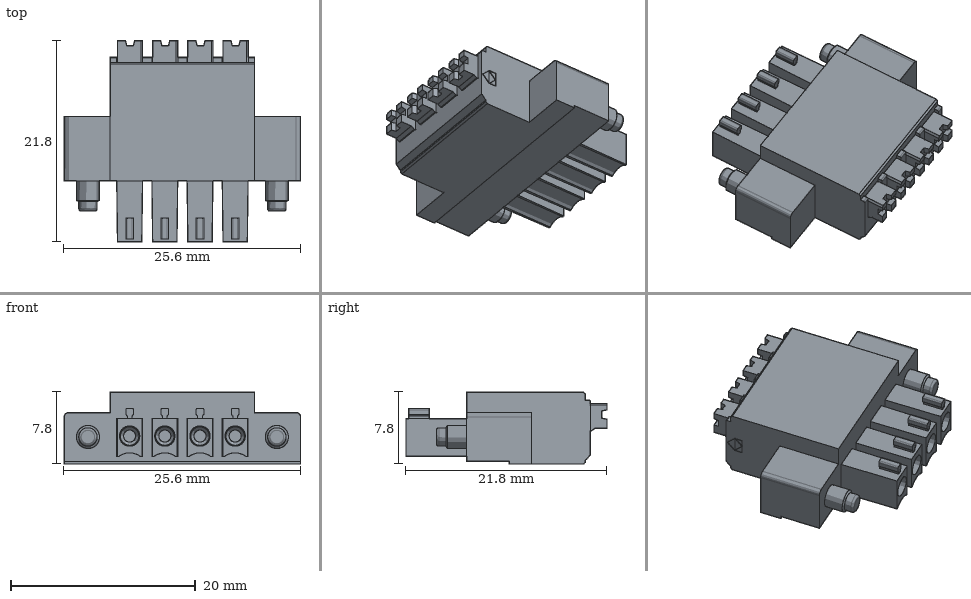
import cadquery as cq


total_width = 25.63
total_height = 7.8
body_width = 15.64
body_depth = 13.4
ledge_depth = 0.55
ledge_top = 6.95
ledge_fillet = 0.15
rear_chamfer = 0.2
rear_slope_top = 1.0
rear_slope_bottom = 0.4
flange_depth = 7.0
flange_height = 5.6
flange_fillet = 0.5
relief_depth = 4.6
relief_height = 0.3

pole_count = 4
pole_pitch = 3.81

block_length = 6.6
block_width = 2.82
block_front_width = 2.66
block_bottom = 0.85
block_top = 4.95
block_height = block_top - block_bottom

socket_z = 3.05
socket_mouth_dia = 2.2
socket_throat_dia = 2.0
socket_end_dia = 1.3
socket_throat_depth = 0.95
socket_depth = 1.35

groove_dia = 3.85
groove_rise = 0.38

key_length = 2.27
key_front_gap = 0.3
key_top = 6.05
key_width = 0.84
key_neck_width = 0.5
key_neck_top = 5.2
key_flare_top = 5.4
key_fillet = 0.16

lever_width = 2.75
lever_left = -1.33
lever_rear = 15.2
lever_bottom = 3.87
lever_top = 6.6
lever_foot_bottom = 3.6
lever_ramp_rear = 13.89
lever_ramp_front = 13.5
lever_chamfer = 0.2
notch_depth = 0.55
vertical_notch_mouth = 0.97
vertical_notch_floor = 0.7
cross_notch_mouth = 1.0
cross_notch_floor = 0.76
cross_notch_z = 5.38

screw_x = 10.23
screw_z = 2.95
screw_dia = 2.5
screw_shank = 2.1
screw_tip_dia = 2.0
screw_cone = 0.15
screw_length = 3.28
screw_tip_fillet = 0.27

mark_front = 11.5
mark_shoulder = 12.37
mark_tip = 13.25
mark_z = 3.78
mark_half_height = 0.86
mark_depth = 0.05

pole_positions = [(i - (pole_count - 1) / 2) * pole_pitch for i in range(pole_count)]
wall_rear = body_depth - ledge_depth


def extrude_along_x(points, x_start, length):
    """Extrude a (Y, Z) outline in +X."""
    return cq.Workplane("YZ").workplane(offset=x_start).polyline(points).close().extrude(length)


def make_body():
    outline = [
        (0, relief_height),
        (relief_depth, relief_height),
        (relief_depth, 0),
        (wall_rear - rear_chamfer, 0),
        (wall_rear, rear_chamfer),
        (wall_rear, rear_slope_bottom),
        (body_depth, rear_slope_top),
        (body_depth, ledge_top),
        (wall_rear, ledge_top),
        (wall_rear, total_height - rear_chamfer),
        (wall_rear - rear_chamfer, total_height),
        (0, total_height),
    ]
    body = extrude_along_x(outline, -body_width / 2, body_width)
    ledge_edge = body.faces(">Y").edges(">Z")
    return ledge_edge.fillet(ledge_fillet)


def make_flange():
    outline = [
        (0, relief_height),
        (relief_depth, relief_height),
        (relief_depth, 0),
        (flange_depth, 0),
        (flange_depth, flange_height),
        (0, flange_height),
    ]
    flange = extrude_along_x(outline, -total_width / 2, total_width)
    top_side_edges = flange.faces(">Z").edges("|Y")
    return top_side_edges.fillet(flange_fillet)


def make_block(x):
    half_rear = block_width / 2
    half_front = block_front_width / 2
    footprint = [
        (x - half_rear, 0),
        (x - half_front, -block_length),
        (x + half_front, -block_length),
        (x + half_rear, 0),
    ]
    block = cq.Workplane("XY").workplane(offset=block_bottom).polyline(footprint).close().extrude(block_height)
    groove_axis_z = block_bottom + groove_rise - groove_dia / 2
    groove = cq.Workplane("XZ").center(x, groove_axis_z).circle(groove_dia / 2).extrude(block_length)
    return block.cut(groove)


def make_socket(x):
    front = -block_length
    profile = [
        (0, front),
        (socket_mouth_dia / 2, front),
        (socket_throat_dia / 2, front + socket_throat_depth),
        (socket_end_dia / 2, front + socket_depth),
        (0, front + socket_depth),
    ]
    socket = cq.Workplane("XY").polyline(profile).close().revolve(360, (0, 0), (0, 1))
    return socket.translate((x, 0, socket_z))


def make_key(x):
    half_neck = key_neck_width / 2
    half_width = key_width / 2
    outline = [
        (-half_neck, block_top),
        (-half_neck, key_neck_top),
        (-half_width, key_flare_top),
        (-half_width, key_top),
        (half_width, key_top),
        (half_width, key_flare_top),
        (half_neck, key_neck_top),
        (half_neck, block_top),
    ]
    key = cq.Workplane("XZ").polyline(outline).close().extrude(key_length)
    key = key.faces(">Z").edges("|Y").fillet(key_fillet)
    return key.translate((x, key_length + key_front_gap - block_length, 0))


def make_ledge_slot(x):
    """Opening in the rear ledge around a lever."""
    left = x - block_width / 2
    slot_width = lever_left + lever_width + block_width / 2
    corner = (left, wall_rear, lever_foot_bottom)
    return cq.Workplane("XY").box(slot_width, ledge_depth, total_height, centered=False).translate(corner)


def notch_points(centre, mouth, floor):
    """Tapered notch in the rear end of a lever, as (position across, Y) points."""
    notch_floor_y = lever_rear - notch_depth
    return [
        (centre - mouth / 2, lever_rear),
        (centre - floor / 2, notch_floor_y),
        (centre + floor / 2, notch_floor_y),
        (centre + mouth / 2, lever_rear),
    ]


def make_lever(x):
    outline = [
        (wall_rear, lever_foot_bottom),
        (lever_ramp_front, lever_foot_bottom),
        (lever_ramp_rear, lever_bottom),
        (lever_rear, lever_bottom),
        (lever_rear, lever_top),
        (wall_rear, lever_top),
    ]
    left = x + lever_left
    lever = extrude_along_x(outline, left, lever_width)
    lever = lever.faces(">Z").edges(">X").chamfer(lever_chamfer)

    vertical_points = notch_points(left + lever_width / 2, vertical_notch_mouth, vertical_notch_floor)
    vertical_notch = cq.Workplane("XY").polyline(vertical_points).close().extrude(total_height)

    cross_points = notch_points(cross_notch_z, cross_notch_mouth, cross_notch_floor)
    cross_outline = [(y, z) for z, y in cross_points]
    cross_notch = extrude_along_x(cross_outline, left, lever_width)
    return lever.cut(vertical_notch).cut(cross_notch)


def make_screw(x):
    profile = [
        (0, 0),
        (screw_dia / 2, 0),
        (screw_dia / 2, -screw_shank),
        (screw_tip_dia / 2, -screw_shank - screw_cone),
        (screw_tip_dia / 2, -screw_length),
        (0, -screw_length),
    ]
    screw = cq.Workplane("XY").polyline(profile).close().revolve(360, (0, 0), (0, 1))
    screw = screw.faces("<Y").edges().fillet(screw_tip_fillet)
    return screw.translate((x, 0, screw_z))


def make_arrow_mark():
    """House-shaped recess with a deeper triangle pointing away from its tip."""
    side = -body_width / 2
    low = mark_z - mark_half_height
    high = mark_z + mark_half_height
    house = [
        (mark_front, low),
        (mark_shoulder, low),
        (mark_tip, mark_z),
        (mark_shoulder, high),
        (mark_front, high),
    ]
    triangle = [(mark_shoulder, low), (mark_shoulder, high), (mark_front, mark_z)]
    recess = extrude_along_x(house, side, mark_depth)
    return recess.union(extrude_along_x(triangle, side, 2 * mark_depth))


result = make_body().union(make_flange())
for pole_x in pole_positions:
    result = result.cut(make_ledge_slot(pole_x))
    result = result.union(make_lever(pole_x))
    result = result.union(make_block(pole_x))
    result = result.union(make_key(pole_x))
    result = result.cut(make_socket(pole_x))
for side_x in (-screw_x, screw_x):
    result = result.union(make_screw(side_x))
result = result.cut(make_arrow_mark())